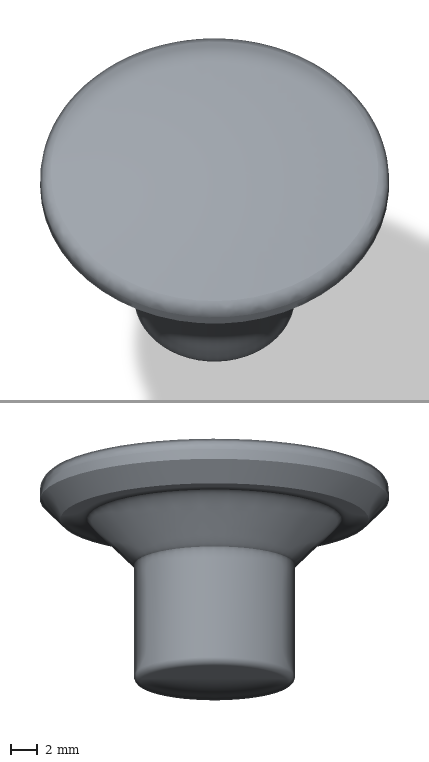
import cadquery as cq
import math

head_radius = 13.0
stem_radius = 6.0
total_height = 17.0
stem_height = 9.0
stem_edge_fillet = 0.5

neck_top_radius = 9.52
neck_top_z = 12.5

bevel = 1.5
shoulder_fillet = 1.0
dome_sphere_radius = 60.0

rim_bottom_z = neck_top_z + bevel


def dome_height(radius):
    """Height of the spherical top at a given distance from the axis."""
    sphere_centre_z = total_height - dome_sphere_radius
    return sphere_centre_z + math.sqrt(dome_sphere_radius**2 - radius**2)


dome_mid_radius = head_radius / 2
profile = (
    cq.Workplane("XZ")
    .lineTo(stem_radius, 0)
    .lineTo(stem_radius, stem_height)
    .lineTo(neck_top_radius, neck_top_z)
    .lineTo(head_radius - bevel, neck_top_z)
    .lineTo(head_radius, rim_bottom_z)
    .lineTo(head_radius, dome_height(head_radius))
    .threePointArc((dome_mid_radius, dome_height(dome_mid_radius)), (0, total_height))
    .close()
)
knob = profile.revolve(360, (0, 0), (0, 1))

knob = knob.faces("%CYLINDER").faces(">Z").edges(">Z").fillet(shoulder_fillet)

result = knob.faces("<Z").edges().fillet(stem_edge_fillet)